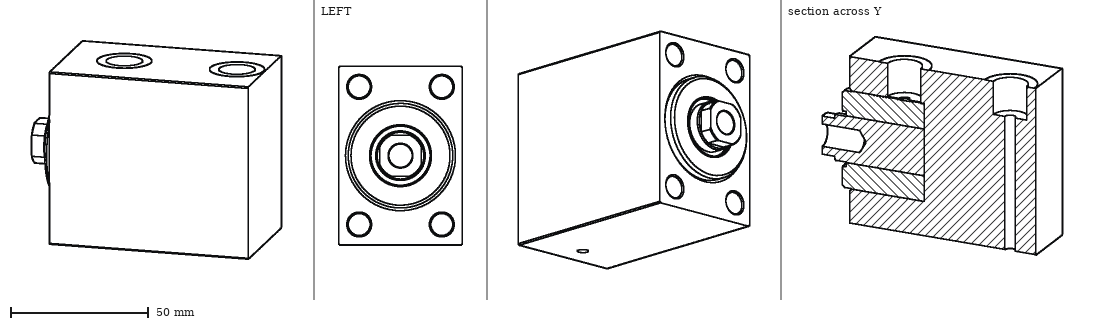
import cadquery as cq
import math


length = 75.0
width = 45.0
height = 65.0
edge_chamfer = 0.5

mount_spacing_y = 30.0
mount_spacing_z = 50.0
mount_diameter = 8.0
mount_mouth_diameter = 9.0
mount_depth = 20.0
drill_point_angle = 118.0

front_port_x = 22.0
rear_port_x = 64.5
port_diameter = 13.2
port_depth = 13.0
seal_face_diameter = 20.0
seal_face_depth = 0.1
oil_duct_diameter = 4.0

gland_diameter = 38.0
gland_depth = 30.0
gland_projection = 3.0
gland_chamfer = 1.0
bore_mouth_diameter = 40.0
wiper_diameter = 21.5
wiper_depth = 1.5
wiper_mouth_diameter = 22.5
wiper_mouth_depth = 0.2

rod_diameter = 18.0
rod_projection = 11.0
rod_shoulder_chamfer = 0.5
rod_head_diameter = 17.0
rod_head_length = 5.0
rod_head_chamfer = 0.3
wrench_size = 15.0
rod_thread_diameter = 8.5
rod_thread_mouth_diameter = 9.0
rod_thread_depth = 15.0


def x_cylinder(diameter, x_start, x_end):
    """Cylinder on the X axis between two X positions."""
    return cq.Workplane("YZ", origin=(x_start, 0, 0)).circle(diameter / 2).extrude(x_end - x_start)


def x_countersink(mouth_diameter, inner_diameter, x_mouth):
    """45 degree cone on the X axis that narrows towards +X."""
    mouth_radius = mouth_diameter / 2
    inner_radius = inner_diameter / 2
    x_inner = x_mouth + mouth_radius - inner_radius
    profile = [(x_mouth, 0), (x_mouth, mouth_radius), (x_inner, inner_radius), (x_inner, 0)]
    return cq.Workplane("XY").polyline(profile).close().revolve(360, (0, 0, 0), (1, 0, 0))


def drilled_hole(mouth_diameter, diameter, depth, x_mouth):
    """Blind hole along +X with a drill point and a countersunk mouth."""
    radius = diameter / 2
    x_shoulder = x_mouth + depth
    x_tip = x_shoulder + radius / math.tan(math.radians(drill_point_angle / 2))
    profile = [(x_mouth, 0), (x_mouth, radius), (x_shoulder, radius), (x_tip, 0)]
    drill = cq.Workplane("XY").polyline(profile).close().revolve(360, (0, 0, 0), (1, 0, 0))
    return drill.union(x_countersink(mouth_diameter, diameter, x_mouth))


def z_cylinder(diameter, x, z_bottom, z_top):
    """Vertical cylinder in the middle plane of the block."""
    return cq.Workplane("XY", origin=(x, 0, z_bottom)).circle(diameter / 2).extrude(z_top - z_bottom)


def port(x, duct_bottom):
    """Oil port: seal face, threaded hole and a narrow duct down to duct_bottom."""
    z_top = height / 2
    seal_face = z_cylinder(seal_face_diameter, x, z_top - seal_face_depth, z_top)
    thread = z_cylinder(port_diameter, x, z_top - port_depth, z_top)
    duct = z_cylinder(oil_duct_diameter, x, duct_bottom, z_top)
    return seal_face.union(thread).union(duct)


def make_housing():
    block = cq.Workplane("XY").box(length, width, height).translate((length / 2, 0, 0))
    block = block.edges("|X").chamfer(edge_chamfer)

    block = block.cut(port(front_port_x, 0))
    block = block.cut(port(rear_port_x, -height / 2))

    block = block.cut(x_cylinder(gland_diameter, 0, gland_depth))
    block = block.cut(x_countersink(bore_mouth_diameter, gland_diameter, 0))

    mount_hole = drilled_hole(mount_mouth_diameter, mount_diameter, mount_depth, 0)
    for side_y in (-1, 1):
        for side_z in (-1, 1):
            place = (0, side_y * mount_spacing_y / 2, side_z * mount_spacing_z / 2)
            block = block.cut(mount_hole.translate(place))
    return block


def make_gland():
    gland = x_cylinder(gland_diameter, -gland_projection, gland_depth)
    gland = gland.faces("<X").chamfer(gland_chamfer)
    gland = gland.cut(x_cylinder(rod_diameter, -gland_projection, gland_depth))

    x_front = -gland_projection
    gland = gland.cut(x_cylinder(wiper_mouth_diameter, x_front, x_front + wiper_mouth_depth))
    return gland.cut(x_cylinder(wiper_diameter, x_front, x_front + wiper_depth))


def make_rod():
    x_tip = -rod_projection
    x_shoulder = x_tip + rod_head_length
    shaft = x_cylinder(rod_diameter, x_shoulder, gland_depth)
    shaft = shaft.faces("<X").chamfer(rod_shoulder_chamfer)

    head = x_cylinder(rod_head_diameter, x_tip, x_shoulder)
    head = head.faces("<X").chamfer(rod_head_chamfer)
    flats = cq.Workplane("YZ", origin=(x_tip, 0, 0)).rect(wrench_size, wrench_size).extrude(rod_head_length)
    rod = shaft.union(head.intersect(flats))
    return rod.cut(drilled_hole(rod_thread_mouth_diameter, rod_thread_diameter, rod_thread_depth, x_tip))


housing = make_housing()
gland = make_gland()
rod = make_rod()

result = cq.Compound.makeCompound([housing.val(), gland.val(), rod.val()])